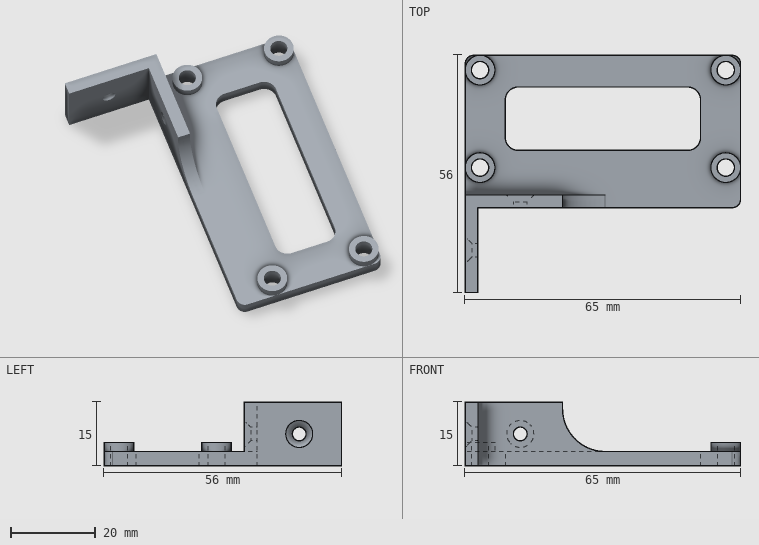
import cadquery as cq

LENGTH = 65.0
DEPTH = 56.0
HEIGHT = 15.0

PLATE_DEPTH = 36.0
PLATE_THICKNESS = 3.4
PLATE_CORNER_RADIUS = 2.0
WINDOW_LENGTH = 46.0
WINDOW_WIDTH = 14.9
WINDOW_RADIUS = 3.0
WINDOW_BACK_MARGIN = 7.55

BOSS_DIAMETER = 7.0
BOSS_HEIGHT = 2.15
BOSS_BORE = 4.0
BOSS_ROW_SPACING = 23.0

BRACKET_LEG = 23.0
BRACKET_THICKNESS = 3.0
WALL_SWEEP_RADIUS = 10.0
SCREW_HOLE = 3.2
COUNTERSINK_DIAMETER = 6.4
COUNTERSINK_ANGLE = 90
WALL_HOLE_X = 13.0
ARM_HOLE_Y = 10.0

PLATE_FRONT = DEPTH - PLATE_DEPTH
WALL_BACK = PLATE_FRONT + BRACKET_THICKNESS
SWEEP_END = BRACKET_LEG + WALL_SWEEP_RADIUS
HOLE_HEIGHT = HEIGHT / 2


def boss_centres():
    inset = BOSS_DIAMETER / 2
    back_row = DEPTH - inset
    return [
        (x, y)
        for x in (inset, LENGTH - inset)
        for y in (back_row - BOSS_ROW_SPACING, back_row)
    ]


def make_wall():
    """Upright wall whose free end sweeps down to the plate's top face."""
    sweep_centre_z = PLATE_THICKNESS + WALL_SWEEP_RADIUS
    diagonal = WALL_SWEEP_RADIUS * 0.5**0.5
    sweep_middle = (SWEEP_END - diagonal, sweep_centre_z - diagonal)
    return (
        cq.Workplane("XZ", origin=(0, WALL_BACK, 0))
        .lineTo(SWEEP_END, 0)
        .lineTo(SWEEP_END, PLATE_THICKNESS)
        .threePointArc(sweep_middle, (BRACKET_LEG, sweep_centre_z))
        .lineTo(BRACKET_LEG, HEIGHT)
        .lineTo(0, HEIGHT)
        .close()
        .extrude(BRACKET_THICKNESS)
    )


def make_bracket():
    """L-shaped bracket with a screw hole countersunk into the outer face of each leg."""
    arm = cq.Workplane().box(BRACKET_THICKNESS, WALL_BACK, HEIGHT, centered=False)
    arm_with_hole = (
        arm.faces("<X")
        .workplane(origin=(0, ARM_HOLE_Y, HOLE_HEIGHT))
        .cskHole(SCREW_HOLE, COUNTERSINK_DIAMETER, COUNTERSINK_ANGLE)
    )
    wall_with_hole = (
        make_wall()
        .faces(">Y")
        .workplane(origin=(WALL_HOLE_X, WALL_BACK, HOLE_HEIGHT))
        .cskHole(SCREW_HOLE, COUNTERSINK_DIAMETER, COUNTERSINK_ANGLE)
    )
    return wall_with_hole.union(arm_with_hole)


def make_plate():
    """Windowed plate with four bored bosses."""
    plate = (
        cq.Workplane(origin=(0, PLATE_FRONT, 0))
        .box(LENGTH, PLATE_DEPTH, PLATE_THICKNESS, centered=False)
        .edges("|Z")
        .fillet(PLATE_CORNER_RADIUS)
    )
    window_y = DEPTH - WINDOW_BACK_MARGIN - WINDOW_WIDTH / 2
    window = (
        cq.Workplane(origin=(LENGTH / 2, window_y, 0))
        .rect(WINDOW_LENGTH, WINDOW_WIDTH)
        .extrude(PLATE_THICKNESS)
        .edges("|Z")
        .fillet(WINDOW_RADIUS)
    )
    boss_top = PLATE_THICKNESS + BOSS_HEIGHT
    bosses = (
        cq.Workplane(origin=(0, 0, PLATE_THICKNESS))
        .pushPoints(boss_centres())
        .circle(BOSS_DIAMETER / 2)
        .extrude(BOSS_HEIGHT)
    )
    bores = cq.Workplane().pushPoints(boss_centres()).circle(BOSS_BORE / 2).extrude(boss_top)
    return plate.cut(window).union(bosses).cut(bores)


def make_mount():
    """Plate and bracket as one solid, sharing the plate's front edge."""
    return make_plate().union(make_bracket())


mount = make_mount()

result = cq.Compound.makeCompound([mount.solids().val()])